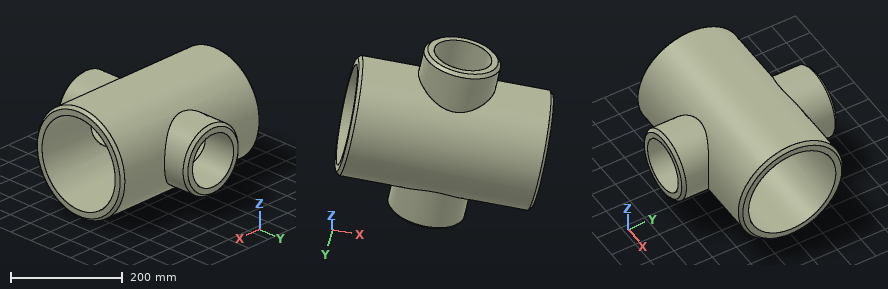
import cadquery as cq

run_length = 355.5
run_diameter = 219.0
run_bore = 182.8

branch_length = 324.0
branch_diameter = 140.8
branch_bore = 105.0

bevel = 6.0


def centred_cylinder(plane, diameter, length):
    """Solid cylinder centred on the origin, along the normal of the plane."""
    return cq.Workplane(plane).circle(diameter / 2).extrude(length / 2, both=True)


def bevelled_bar(plane, diameter, length):
    """Solid bar with both end rims bevelled."""
    bar = centred_cylinder(plane, diameter, length)
    return bar.faces("%PLANE").edges().chamfer(bevel)


run = bevelled_bar("YZ", run_diameter, run_length)
branch = bevelled_bar("XZ", branch_diameter, branch_length)

result = (
    run.union(branch)
    .cut(centred_cylinder("YZ", run_bore, run_length))
    .cut(centred_cylinder("XZ", branch_bore, branch_length))
)